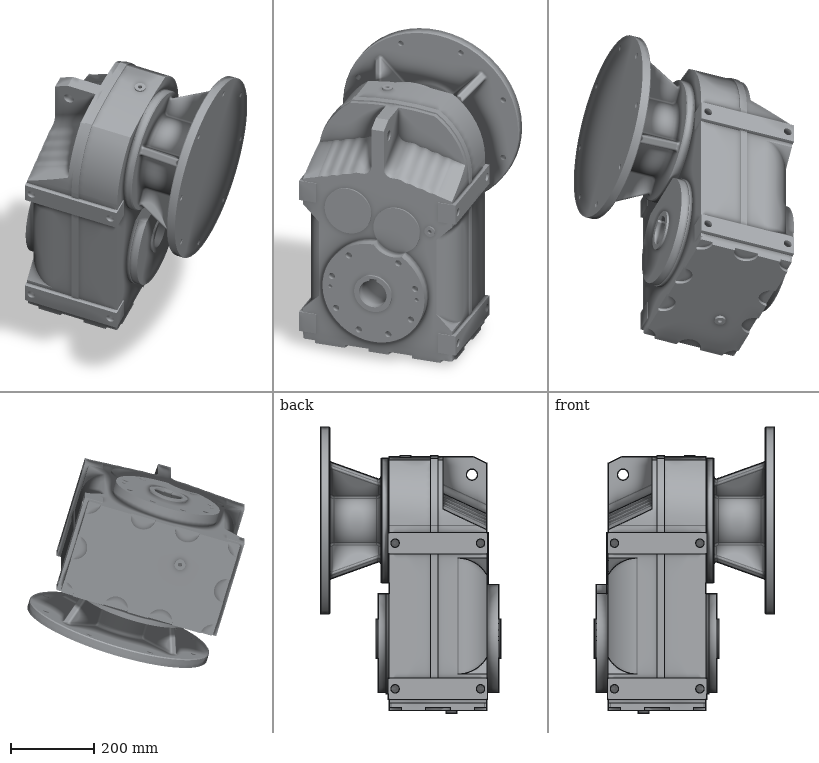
import cadquery as cq
import math


input_height = 283.5

housing_front = -116.0
housing_back = 118.5
housing_half_width = 190.0
housing_bottom = -155.0
housing_top = 437.0
shoulder_z = 272.0
roof_half_width = 108.0

band_start = 1.0
band_width = 17.5
band_height = 3.0
band_bottom = -120.0

pad_front = -118.0
pad_back = 121.0
pad_inner_y = 155.0
pad_outer_y = 200.0
pad_height = 51.0
pad_centres_z = (229.0, -120.5)
pad_hole_spacing = 205.0
pad_hole_diameter = 20.0
pad_hole_depth = 30.0

relief_back = -11.0
relief_rise = 48.5
lug_half_width = 16.0
lug_chamfer_length = 33.0
lug_chamfer_drop = 16.0
lug_hole_x = -80.5
lug_hole_z = 393.5
lug_hole_diameter = 26.0
lug_foot_radius = 21.5
relief_foot_z = 299.5
relief_edge_z = 261.5
wave_start_y = 50.0
wave_pitch = 14.6
wave_count = 7
wave_sagitta = 1.1

window_end_x = -47.0
window_depth = 40.0
window_top = 193.0
window_bottom = -85.0
window_overshoot = 5.0

plate_bottom = -173.0
plate_corner_radius = 5.0
scallop_radius = 30.0
scallop_depth = 7.5
scallop_y = (-housing_half_width, -58.0, 53.0, housing_half_width)

shaft_half_length = 150.0
shaft_diameter = 95.0
bore_diameter = 70.0
key_width = 20.0
key_top = 39.9

hub_diameter = 260.0
hub_end = 145.0
hub_top = 108.0
hub_foot_diameter = 266.0
hub_foot_height = 7.5

cover_diameter = 260.0
cover_front = -145.0
scoop_diameter = 120.0
bolt_circle_diameter = 220.0
bolt_angles = (15, 55, 125, 165, 210, 250, 290, 330)
bolt_hole_diameter = 16.0
dowel_angles = (0, 180)
dowel_hole_diameter = 10.0

cap_diameter = 118.0
cap_thickness = 4.0
cap_upper = (74.5, 195.5)
cap_lower = (-50.0, 164.0)

plug_diameter = 26.0
plug_length = 20.0
socket_diameter = 10.0
socket_depth = 8.0
top_plug_head = (79.5, 45.0, 440.0)
front_plug_head = (housing_front - cap_thickness, -134.0, 174.0)
bottom_plug_head = (-31.0, -64.0, -179.54)

disc_diameter = 300.0
disc_start = 121.5
disc_end = 138.5
disc_chamfer = 2.5
neck_radius = 90.0
neck_fillet = 10.0
flange_start = 260.8
flange_end = 283.0
flange_diameter = 450.0
flange_chamfer = 2.5
flange_bolt_circle = 400.0
flange_hole_count = 8
flange_hole_diameter = 14.0
rib_thickness = 20.0
rib_radius_at_disc = 131.0
rib_radius_at_flange = 193.0
rib_fillet = 5.0
rib_count = 4
rib_turn = 45.0
selection_margin = 1.0


def x_cylinder(diameter, x_start, x_end, y=0.0, z=0.0):
    """Cylinder along X between two X positions."""
    section = cq.Workplane("YZ", origin=(x_start, 0, 0)).center(y, z)
    return section.circle(diameter / 2).extrude(x_end - x_start)


def y_cylinder(diameter, x, z, y_start, y_end):
    """Cylinder along Y between two Y positions."""
    section = cq.Workplane("XZ", origin=(x, y_start, z))
    return section.circle(diameter / 2).extrude(y_start - y_end)


def plug_shape(head, inward, diameter, depth):
    """Cylinder that starts at the plug head and runs into the housing."""
    return cq.Workplane(cq.Solid.makeCylinder(diameter / 2, depth, cq.Vector(*head), cq.Vector(*inward)))


top_plug = (top_plug_head, (0, 0, -1))
front_plug = (front_plug_head, (1, 0, 0))
bottom_plug = (bottom_plug_head, (0, 0, 1))
plugs = (top_plug, front_plug, bottom_plug)


def make_plug(head, inward):
    """Round plug with a socket in its head."""
    socket = plug_shape(head, inward, socket_diameter, socket_depth)
    return plug_shape(head, inward, plug_diameter, plug_length).cut(socket)


def housing_profile(x_start, length, offset, bottom):
    """Round-shouldered housing outline, grown by an offset and extruded along X."""
    radius = housing_half_width + offset
    corner_z = shoulder_z + math.sqrt(radius**2 - roof_half_width**2)
    shoulder_arc_angle = math.radians(30)
    middle_y = radius * math.cos(shoulder_arc_angle)
    middle_z = shoulder_z + radius * math.sin(shoulder_arc_angle)
    return (
        cq.Workplane("YZ", origin=(x_start, 0, 0))
        .moveTo(-radius, bottom)
        .lineTo(radius, bottom)
        .lineTo(radius, shoulder_z)
        .threePointArc((middle_y, middle_z), (roof_half_width, corner_z))
        .threePointArc((0, housing_top + offset), (-roof_half_width, corner_z))
        .threePointArc((-middle_y, middle_z), (-radius, shoulder_z))
        .close()
        .extrude(length)
    )


def relief_cutter():
    """Sheared prism on one side of the lug; its floor is a wavy line sloping up along +X."""
    slope = (relief_edge_z - relief_foot_z) / (housing_half_width - wave_start_y)
    outer_y = housing_half_width + band_height
    ceiling = housing_top + band_height
    normal_y = -slope / math.hypot(1, slope)
    normal_z = 1 / math.hypot(1, slope)

    def floor_z(y):
        return relief_foot_z + slope * (y - wave_start_y)

    arc_middle = lug_foot_radius * (1 - math.sqrt(0.5))
    profile = (
        cq.Workplane("YZ", origin=(housing_front, 0, 0))
        .moveTo(lug_half_width, ceiling)
        .lineTo(lug_half_width, relief_foot_z + lug_foot_radius)
        .threePointArc(
            (lug_half_width + arc_middle, relief_foot_z + arc_middle),
            (lug_half_width + lug_foot_radius, relief_foot_z),
        )
        .lineTo(wave_start_y, relief_foot_z)
    )
    for i in range(wave_count):
        middle_y = wave_start_y + (i + 0.5) * wave_pitch
        end_y = wave_start_y + (i + 1) * wave_pitch
        bulge = wave_sagitta if i % 2 == 0 else -wave_sagitta
        profile = profile.threePointArc(
            (middle_y + bulge * normal_y, floor_z(middle_y) + bulge * normal_z),
            (end_y, floor_z(end_y)),
        )
    profile = profile.lineTo(outer_y, floor_z(outer_y)).lineTo(outer_y, ceiling).close()
    sweep = cq.Vector(relief_back - housing_front, 0, relief_rise)
    return cq.Workplane(cq.Solid.extrudeLinear(profile.val(), [], sweep))


def lug_chamfer_cutter():
    """Wedge off the front top corner of the lug."""
    return (
        cq.Workplane("XZ", origin=(0, lug_half_width, 0))
        .moveTo(housing_front, housing_top)
        .lineTo(housing_front + lug_chamfer_length, housing_top)
        .lineTo(housing_front, housing_top - lug_chamfer_drop)
        .close()
        .extrude(2 * lug_half_width)
    )


def window_cutter():
    """Side window: a rounded vertical housing corner that ends in 45 degree slopes."""
    length = window_end_x - housing_front
    corner_radius = (length**2 + window_depth**2) / (2 * window_depth)
    half_angle = math.asin(length / corner_radius) / 2
    middle_x = window_end_x - corner_radius * math.sin(half_angle)
    middle_y = housing_half_width - corner_radius * (1 - math.cos(half_angle))
    inner_y = housing_half_width - window_depth
    outer_y = housing_half_width + window_overshoot
    plan = (
        cq.Workplane("XY", origin=(0, 0, window_bottom - window_overshoot))
        .moveTo(housing_front, inner_y)
        .threePointArc((middle_x, middle_y), (window_end_x, housing_half_width))
        .lineTo(window_end_x, outer_y)
        .lineTo(housing_front, outer_y)
        .close()
        .extrude(window_top - window_bottom + 2 * window_overshoot)
    )
    slopes = (
        cq.Workplane("YZ", origin=(housing_front, 0, 0))
        .moveTo(inner_y, window_bottom + window_depth)
        .lineTo(outer_y, window_bottom - window_overshoot)
        .lineTo(outer_y, window_top + window_overshoot)
        .lineTo(inner_y, window_top - window_depth)
        .close()
        .extrude(length)
    )
    return plan.intersect(slopes)


def foot_pad(z):
    """Pad on the +Y side, full housing length."""
    pad = cq.Workplane("XY").box(
        pad_back - pad_front, pad_outer_y - pad_inner_y, pad_height, centered=(False, False, True)
    )
    return pad.translate((pad_front, pad_inner_y, z))


def back_hub():
    """Stepped output hub on the back face, trimmed flat on top."""
    foot_end = housing_back + hub_foot_height
    hub = x_cylinder(hub_foot_diameter, housing_back, foot_end)
    hub = hub.union(x_cylinder(hub_diameter, foot_end, hub_end))
    above_hub = cq.Workplane("XY", origin=(hub_end, 0, hub_top))
    return hub.cut(above_hub.rect(2 * hub_end, 2 * hub_foot_diameter).extrude(hub_foot_diameter))


def make_housing():
    body = housing_profile(housing_front, housing_back - housing_front, 0, housing_bottom)
    body = body.union(housing_profile(band_start, band_width, band_height, band_bottom))

    relief = relief_cutter()
    body = body.cut(relief).cut(relief.mirror("XZ"))
    body = body.cut(lug_chamfer_cutter())
    body = body.cut(
        y_cylinder(lug_hole_diameter, lug_hole_x, lug_hole_z, -lug_half_width, lug_half_width)
    )

    window = window_cutter()
    body = body.cut(window).cut(window.mirror("XZ"))

    body = body.union(back_hub())
    body = body.union(x_cylinder(disc_diameter, housing_back, disc_start, 0, input_height))
    pad_middle = (pad_front + pad_back) / 2
    for z in pad_centres_z:
        pad = foot_pad(z)
        body = body.union(pad).union(pad.mirror("XZ"))
    for z in pad_centres_z:
        for x in (pad_middle - pad_hole_spacing / 2, pad_middle + pad_hole_spacing / 2):
            hole = y_cylinder(pad_hole_diameter, x, z, pad_outer_y - pad_hole_depth, pad_outer_y)
            body = body.cut(hole).cut(hole.mirror("XZ"))

    body = body.cut(x_cylinder(shaft_diameter, housing_front, hub_end))
    for head, inward in (top_plug, front_plug):
        body = body.cut(plug_shape(head, inward, plug_diameter, plug_length))
    return body


def make_bottom_cover():
    """Round-cornered plate under the housing, with bolt scallops along its lower edge."""
    length = housing_back - housing_front
    middle_x = (housing_back + housing_front) / 2
    plate = (
        cq.Workplane("XY", origin=(middle_x, 0, plate_bottom))
        .rect(length, 2 * housing_half_width)
        .extrude(housing_bottom - plate_bottom)
        .edges("|Z")
        .fillet(plate_corner_radius)
    )
    end_scallops = [(x, y) for x in (housing_front, housing_back) for y in scallop_y]
    side_scallops = [(middle_x, y) for y in (-housing_half_width, housing_half_width)]
    scallops = (
        cq.Workplane("XY", origin=(0, 0, plate_bottom))
        .pushPoints(end_scallops + side_scallops)
        .circle(scallop_radius)
        .extrude(scallop_depth)
    )
    head, inward = bottom_plug
    return plate.cut(scallops).cut(plug_shape(head, inward, plug_diameter, plug_length))


def make_shaft():
    shaft = x_cylinder(shaft_diameter, -shaft_half_length, shaft_half_length)
    shaft = shaft.cut(x_cylinder(bore_diameter, -shaft_half_length, shaft_half_length))
    keyway = cq.Workplane("XY").box(
        2 * shaft_half_length, key_width, key_top, centered=(True, True, False)
    )
    return shaft.cut(keyway)


def make_front_cover():
    body = x_cylinder(cover_diameter, cover_front, housing_front)
    body = body.cut(x_cylinder(scoop_diameter, cover_front, housing_front, *cap_lower))
    body = body.cut(x_cylinder(shaft_diameter, cover_front, housing_front))
    hole_sets = ((bolt_angles, bolt_hole_diameter), (dowel_angles, dowel_hole_diameter))
    for angles, diameter in hole_sets:
        for angle in angles:
            y = bolt_circle_diameter / 2 * math.cos(math.radians(angle))
            z = bolt_circle_diameter / 2 * math.sin(math.radians(angle))
            body = body.cut(x_cylinder(diameter, cover_front, housing_front, y, z))
    return body


def make_cap(y, z):
    return x_cylinder(cap_diameter, housing_front - cap_thickness, housing_front, y, z)


def adapter_core():
    """Disc, neck and motor flange, revolved about the motor axis."""
    disc_radius = disc_diameter / 2
    flange_radius = flange_diameter / 2
    arc_inset = neck_fillet * (1 - math.sqrt(0.5))
    return (
        cq.Workplane("XY", origin=(0, 0, input_height))
        .moveTo(disc_start, 0)
        .lineTo(disc_start, disc_radius)
        .lineTo(disc_end - disc_chamfer, disc_radius)
        .lineTo(disc_end, disc_radius - disc_chamfer)
        .lineTo(disc_end, neck_radius + neck_fillet)
        .threePointArc(
            (disc_end + arc_inset, neck_radius + arc_inset), (disc_end + neck_fillet, neck_radius)
        )
        .lineTo(flange_start - neck_fillet, neck_radius)
        .threePointArc(
            (flange_start - arc_inset, neck_radius + arc_inset),
            (flange_start, neck_radius + neck_fillet),
        )
        .lineTo(flange_start, flange_radius - flange_chamfer)
        .lineTo(flange_start + flange_chamfer, flange_radius)
        .lineTo(flange_end, flange_radius)
        .lineTo(flange_end, 0)
        .close()
        .revolve(360, (0, 0, 0), (1, 0, 0))
    )


def adapter_rib(angle):
    """Tapered rib from the disc to the flange, turned about the motor axis."""
    rib = (
        cq.Workplane("XZ", origin=(0, rib_thickness / 2, 0))
        .moveTo(disc_end, 0)
        .lineTo(disc_end, rib_radius_at_disc)
        .lineTo(flange_start, rib_radius_at_flange)
        .lineTo(flange_start, 0)
        .close()
        .extrude(rib_thickness)
    )
    return rib.rotate((0, 0, 0), (1, 0, 0), angle).translate((0, 0, input_height))


def make_adapter():
    body = adapter_core()
    for i in range(rib_count):
        body = body.union(adapter_rib(360 / rib_count * i))
    half_width = rib_thickness / 2 + selection_margin
    reach = rib_radius_at_flange + selection_margin
    for i in range(rib_count):
        across = (-half_width, half_width)
        along = (neck_radius / 2, reach) if i < 2 else (-reach, -neck_radius / 2)
        y_range, z_range = (across, along) if i % 2 == 0 else (along, across)
        rib_box = cq.selectors.BoxSelector(
            (disc_end - selection_margin, y_range[0], input_height + z_range[0]),
            (flange_start + selection_margin, y_range[1], input_height + z_range[1]),
            boundingbox=True,
        )
        body = body.edges(rib_box).fillet(rib_fillet)
    body = body.rotate((0, 0, input_height), (1, 0, input_height), rib_turn)
    holes = (
        cq.Workplane("YZ", origin=(flange_start, 0, input_height))
        .polarArray(flange_bolt_circle / 2, 180 / flange_hole_count, 360, flange_hole_count)
        .circle(flange_hole_diameter / 2)
        .extrude(flange_end - flange_start)
    )
    return body.cut(holes)


housing = make_housing()
shaft = make_shaft()
front_cover = make_front_cover()
bottom_cover = make_bottom_cover()
caps = [make_cap(*centre) for centre in (cap_upper, cap_lower)]
adapter = make_adapter()
plug_bodies = [make_plug(head, inward) for head, inward in plugs]

result = cq.Compound.makeCompound(
    [
        housing.val(),
        shaft.val(),
        front_cover.val(),
        bottom_cover.val(),
        *[cap.val() for cap in caps],
        adapter.val(),
        *[plug.val() for plug in plug_bodies],
    ]
)